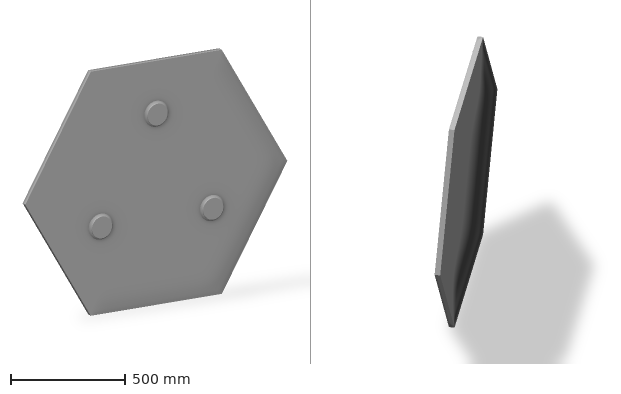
import cadquery as cq
import math

shell_width = 1302.0
overall_depth = 38.0

foot_count = 3
foot_circle_radius = 319.0
first_foot_angle = 90.0

flare_base_radius = 60.0
flare_run = 10.0
flare_height = 7.0
foot_height = 12.8
foot_radius = flare_base_radius - flare_run

sheet_thickness = 1.0
shell_depth = overall_depth - foot_height
core_depth = shell_depth - sheet_thickness
hexagon_half_angle = math.radians(180 / 6)
core_width = shell_width - 2 * sheet_thickness / math.cos(hexagon_half_angle)


def make_hexagon(width, depth):
    """Hexagonal plate from the plane X = 0 towards +X, with two corners on the Y axis."""
    return cq.Workplane("YZ").polygon(6, width).extrude(depth)


def make_core():
    return make_hexagon(core_width, core_depth)


def make_shell():
    """Tray with a floor on the +X side and a wall around the core."""
    return make_hexagon(shell_width, shell_depth).cut(make_core())


def make_foot(index):
    """Turn one foot about the X axis, then move it to its place on the foot circle."""
    profile = [
        (0, 0),
        (0, flare_base_radius),
        (flare_height, foot_radius),
        (foot_height, foot_radius),
        (foot_height, 0),
    ]
    foot = cq.Workplane("XY").polyline(profile).close().revolve(360, (0, 0, 0), (1, 0, 0))
    angle = math.radians(first_foot_angle + index * 360 / foot_count)
    center_y = foot_circle_radius * math.cos(angle)
    center_z = foot_circle_radius * math.sin(angle)
    return foot.translate((shell_depth, center_y, center_z))


core = make_core()
shell = make_shell()
feet = [make_foot(index) for index in range(foot_count)]

result = cq.Compound.makeCompound([core.val(), shell.val(), *[foot.val() for foot in feet]])